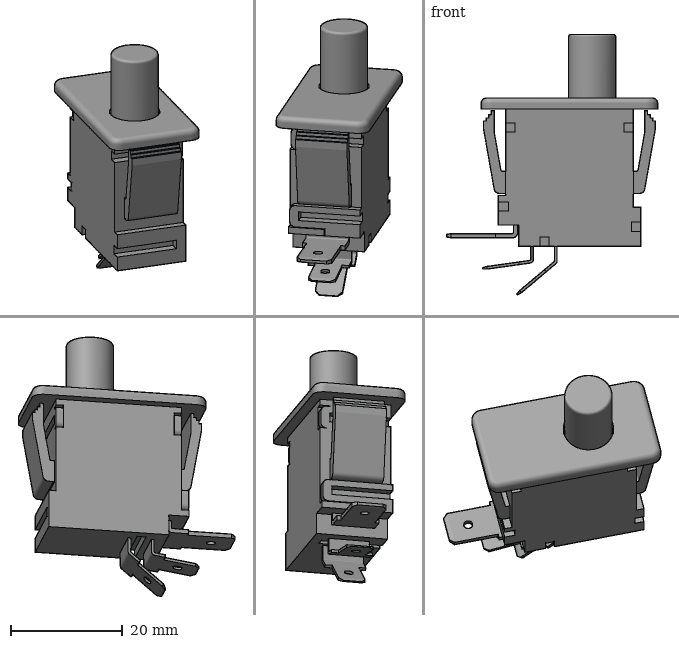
import cadquery as cq
import math


flange_length = 31.6
flange_width = 17.0
flange_thickness = 2.0
flange_corner_radius = 1.95
flange_edge_radius = 1.0
plunger_diameter = 8.5
plunger_hole_diameter = 9.0
plunger_x = 4.05
plunger_top = 13.4
plunger_edge_radius = 0.45

body_half_length = 11.4
body_width = 13.1
body_bottom = -24.5
shoulder_projection = 1.35
shoulder_end = body_half_length + shoulder_projection
left_shoulder_top = -15.45
left_shoulder_bottom = -20.75
right_shoulder_top = -17.55
foot_left = -9.1

slot_height = 1.65
slot_depth = 1.7
left_slot_depth = 1.9
slot_back = 4.7
upper_slot_z = -3.25
left_slot_z = -17.4
right_slot_z = -21.03
bottom_slot_x = -4.48

tab_back = 6.4
tab_radius = 1.03
upper_tab_top = -1.2
upper_tab_bottom = -5.3
lower_tab_bottom = -19.45
parting_gap = 0.115

clip_width = 2 * slot_back
clip_outer = 15.4
clip_inner = 13.43
clip_top = -0.3
clip_first_tooth = -1.0
tooth_height = 0.55
tooth_depth = 0.45
tooth_count = 3
clip_outer_bend = -3.5
clip_inner_bend = -4.2
clip_root_top = -11.1
clip_root_bottom = -15.1
clip_angle = math.radians(10)
clip_corner_radius = 1.03
clip_inner_radius = 0.25
clip_root_flare = 0.15

terminal_hole_diameter = 1.6
terminal_embed = 0.7
bend_inner_radius = 0.25
tip_corner = 0.8
tip_bevel_height = 0.15

body_back = body_width / 2


def block(x_min, x_max, y_min, y_max, z_min, z_max):
    """Box given by its limits along each axis."""
    size = (x_max - x_min, y_max - y_min, z_max - z_min)
    return cq.Workplane("XY").box(*size, centered=False).translate((x_min, y_min, z_min))


def xz_prism(points, width):
    """Prism with an XZ outline, centred on Y = 0."""
    return cq.Workplane("XZ").polyline(points).close().extrude(width / 2, both=True)


def round_y_edge(solid, x, z, radius):
    """Fillet the edge that runs along Y through (x, z)."""
    return solid.edges(cq.NearestToPointSelector((x, 0, z))).fillet(radius)


def make_flange():
    flange = cq.Workplane("XY").rect(flange_length, flange_width).extrude(flange_thickness)
    flange = flange.edges("|Z").fillet(flange_corner_radius)
    flange = flange.faces(">Z").edges().fillet(flange_edge_radius)
    hole = cq.Workplane("XY").center(plunger_x, 0).circle(plunger_hole_diameter / 2).extrude(flange_thickness)
    return flange.cut(hole)


def make_plunger():
    plunger = cq.Workplane("XY").center(plunger_x, 0).circle(plunger_diameter / 2).extrude(plunger_top)
    return plunger.faces(">Z").edges().fillet(plunger_edge_radius)


def make_body():
    outline = [
        (-body_half_length, 0),
        (body_half_length, 0),
        (body_half_length, right_shoulder_top),
        (shoulder_end, right_shoulder_top),
        (shoulder_end, body_bottom),
        (foot_left, body_bottom),
        (foot_left, left_shoulder_bottom),
        (-shoulder_end, left_shoulder_bottom),
        (-shoulder_end, left_shoulder_top),
        (-body_half_length, left_shoulder_top),
    ]
    return xz_prism(outline, body_width)


def cut_snap_slots(body):
    half = slot_height / 2
    end_slots = [
        (-body_half_length, upper_slot_z, slot_depth),
        (body_half_length, upper_slot_z, slot_depth),
        (-shoulder_end, left_slot_z, left_slot_depth),
        (shoulder_end, right_slot_z, slot_depth),
    ]
    for end_x, z, depth in end_slots:
        inner_x = end_x - math.copysign(depth, end_x)
        x_min, x_max = sorted((end_x, inner_x))
        body = body.cut(block(x_min, x_max, -body_back, slot_back, z - half, z + half))
    slot_left = bottom_slot_x - half
    slot_right = bottom_slot_x + half
    slot_top = body_bottom + slot_depth
    bottom_slot = block(slot_left, slot_right, -body_back, slot_back, body_bottom, slot_top)
    return body.cut(bottom_slot)


def tab_clearance(outer_x, y_start, z_min, z_max, tab_z_min, tab_z_max):
    """Space left around a tab with rounded back corners, one shoulder projection deep."""
    inner_x = outer_x - math.copysign(shoulder_projection, outer_x)
    x_min, x_max = sorted((outer_x, inner_x))
    tab = block(x_min, x_max, y_start, tab_back, tab_z_min, tab_z_max)
    tab = tab.faces(">Y").edges("|X").fillet(tab_radius)
    return block(x_min, x_max, y_start, body_back, z_min, z_max).cut(tab)


def cut_tab_clearances(body):
    for end_x in (-body_half_length, body_half_length):
        clearance = tab_clearance(
            outer_x=end_x,
            y_start=slot_back,
            z_min=upper_tab_bottom,
            z_max=upper_tab_top + parting_gap,
            tab_z_min=upper_tab_bottom,
            tab_z_max=upper_tab_top,
        )
        body = body.cut(clearance)
    lower_clearance = tab_clearance(
        outer_x=-shoulder_end,
        y_start=0,
        z_min=lower_tab_bottom - parting_gap,
        z_max=left_shoulder_top,
        tab_z_min=lower_tab_bottom,
        tab_z_max=left_shoulder_top,
    )
    lower_joint = block(-shoulder_end, -body_half_length, -parting_gap, 0, left_shoulder_bottom, lower_tab_bottom)
    return body.cut(lower_clearance).cut(lower_joint)


def make_clip():
    """Clip on the +X end: a toothed head on a slanted arm."""
    slope = math.tan(clip_angle)
    arm_inner_x = clip_inner - slope * (clip_inner_bend - clip_root_top)
    arm_outer_x = clip_outer - slope * (clip_outer_bend - clip_root_bottom)
    outline = [(clip_inner, clip_top), (clip_outer - tooth_count * tooth_depth, clip_top)]
    for tooth in range(tooth_count):
        tooth_z = clip_first_tooth - tooth * tooth_height
        tooth_x = clip_outer - (tooth_count - tooth) * tooth_depth
        outline += [(tooth_x, tooth_z), (tooth_x + tooth_depth, tooth_z)]
    outline += [
        (clip_outer, clip_outer_bend),
        (arm_outer_x, clip_root_bottom),
        (body_half_length + clip_root_flare, clip_root_bottom),
        (body_half_length, clip_root_bottom - clip_root_flare),
        (body_half_length, clip_root_top),
        (arm_inner_x, clip_root_top),
        (clip_inner, clip_inner_bend),
    ]
    clip = xz_prism(outline, clip_width)
    clip = round_y_edge(clip, arm_outer_x, clip_root_bottom, clip_corner_radius)
    return round_y_edge(clip, arm_inner_x, clip_root_top, clip_inner_radius)


def make_terminal(corner, stem_top, angle, thickness, length, shoulder, root_width, blade_width, hole_to_tip):
    """Bent terminal: a vertical stem, a wide shoulder and a narrower pierced blade.

    corner is the (x, z) point where the outer faces of stem and blade meet, length and
    shoulder are measured from it along the blade, and the blade drops by angle towards -X.
    """
    slant = math.radians(angle)
    corner_x, corner_z = corner
    stem_height = stem_top - corner_z
    along = (-math.cos(slant), -math.sin(slant))
    across = (-math.sin(slant) * thickness, math.cos(slant) * thickness)
    shoulder_low = (shoulder * along[0], shoulder * along[1])
    inner_bend_z = thickness * (1 - math.sin(slant)) / math.cos(slant)
    root_outline = [
        (0, 0),
        (0, stem_height),
        (-thickness, stem_height),
        (-thickness, inner_bend_z),
        (shoulder_low[0] + across[0], shoulder_low[1] + across[1]),
        shoulder_low,
    ]
    root = xz_prism(root_outline, root_width)
    root = round_y_edge(root, 0, 0, thickness + bend_inner_radius)
    root = round_y_edge(root, -thickness, inner_bend_z, bend_inner_radius)

    half = blade_width / 2
    plan = [
        (-shoulder, -half),
        (tip_corner - length, -half),
        (-length, tip_corner - half),
        (-length, half - tip_corner),
        (tip_corner - length, half),
        (-shoulder, half),
    ]
    blade = cq.Workplane("XY").polyline(plan).close().extrude(thickness)
    side = [
        (-shoulder, 0),
        (tip_corner - length, 0),
        (-length, tip_bevel_height),
        (-length, thickness - tip_bevel_height),
        (tip_corner - length, thickness),
        (-shoulder, thickness),
    ]
    blade = blade.intersect(xz_prism(side, blade_width))
    hole = cq.Workplane("XY").circle(terminal_hole_diameter / 2).extrude(thickness)
    blade = blade.cut(hole.translate((hole_to_tip - length, 0, 0)))
    blade = blade.rotate((0, 0, 0), (0, 1, 0), -angle)
    return root.union(blade).translate((corner_x, 0, corner_z))


def make_terminals():
    upper = make_terminal(
        corner=(-9.25, -23.05),
        stem_top=left_shoulder_bottom + terminal_embed,
        angle=0,
        thickness=0.8,
        length=12.75,
        shoulder=3.95,
        root_width=7.8,
        blade_width=6.3,
        hole_to_tip=3.95,
    )
    terminals = [upper]
    for corner, angle in (((-6.45, -27.45), 8), ((-2.2, -27.45), 40)):
        lower = make_terminal(
            corner=corner,
            stem_top=body_bottom + terminal_embed,
            angle=angle,
            thickness=0.5,
            length=9.15,
            shoulder=2.55,
            root_width=7.5,
            blade_width=4.95,
            hole_to_tip=3.65,
        )
        terminals.append(lower)
    return terminals


body = cut_tab_clearances(cut_snap_slots(make_body()))
clip = make_clip()

result = body.union(make_flange()).union(make_plunger())
result = result.union(clip).union(clip.mirror("YZ"))
for terminal in make_terminals():
    result = result.union(terminal)